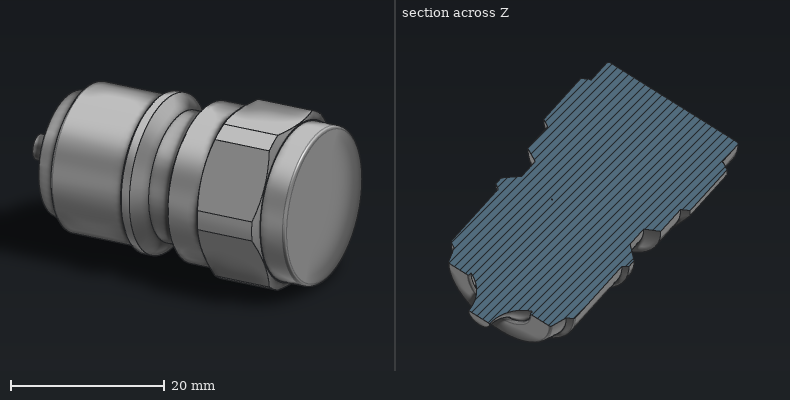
import cadquery as cq
import math

length = 42.36
front_face_x = 4.4
lead_in_end_x = 6.75
ridge_start_x = 17.6
ridge_flat_start_x = 18.1
ridge_flat_end_x = 19.3
groove_start_x = 21.1
groove_end_x = 24.0
collar_start_x = 25.05
hex_start_x = 29.35
hex_end_x = 38.7

lead_in_front_radius = 8.4
lead_in_back_radius = 9.2
sleeve_radius = 10.15
ridge_radius = 10.9
groove_radius = 8.9
collar_radius = 10.9
tail_radius = 10.75

front_edge_round = 0.3
sleeve_edge_round = 0.3
sleeve_chamfer_angle = 60
tail_edge_round = 0.4

hex_sides = 6
across_flats = 22.0
hex_corner_radius = 12.0
hex_chamfer_angle = 30

bore_radius = 5.0
bore_edge_round = 0.2
nose_tip_radius = 1.75
nose_flare_radius = 5.3


def revolve_about_x(profile):
    """Turn a closed (x, radius) profile around the X axis."""
    return profile.close().revolve(360, (0, 0, 0), (1, 0, 0))


def circles_at(x, radius):
    """Select the edges at one x whose circles are no larger than the radius."""
    tolerance = 0.02
    return cq.selectors.BoxSelector(
        (x - tolerance, -radius - tolerance, -radius - tolerance),
        (x + tolerance, radius + tolerance, radius + tolerance),
        boundingbox=True,
    )


def make_body():
    chamfer_length = (sleeve_radius - lead_in_back_radius) / math.tan(math.radians(sleeve_chamfer_angle))
    sleeve_corner_x = lead_in_end_x + chamfer_length
    profile = (
        cq.Workplane("XY")
        .moveTo(front_face_x, 0)
        .lineTo(front_face_x, lead_in_front_radius)
        .lineTo(lead_in_end_x, lead_in_back_radius)
        .lineTo(sleeve_corner_x, sleeve_radius)
        .lineTo(ridge_start_x, sleeve_radius)
        .lineTo(ridge_flat_start_x, ridge_radius)
        .lineTo(ridge_flat_end_x, ridge_radius)
        .lineTo(groove_start_x, groove_radius)
        .lineTo(groove_end_x, groove_radius)
        .lineTo(collar_start_x, collar_radius)
        .lineTo(hex_start_x, collar_radius)
        .lineTo(hex_start_x, tail_radius)
        .lineTo(length, tail_radius)
        .lineTo(length, 0)
    )
    body = revolve_about_x(profile)
    body = body.edges(circles_at(front_face_x, lead_in_front_radius)).fillet(front_edge_round)
    body = body.edges(circles_at(sleeve_corner_x, sleeve_radius)).fillet(sleeve_edge_round)
    return body.edges(circles_at(length, tail_radius)).fillet(tail_edge_round)


def make_hexagon():
    corner_to_corner = across_flats / math.cos(math.pi / hex_sides)
    prism = (
        cq.Workplane("YZ", origin=(hex_start_x, 0, 0))
        .polygon(hex_sides, corner_to_corner)
        .extrude(hex_end_x - hex_start_x)
    )
    chamfer_length = (hex_corner_radius - collar_radius) * math.tan(math.radians(hex_chamfer_angle))
    turned_blank = revolve_about_x(
        cq.Workplane("XY")
        .moveTo(hex_start_x, 0)
        .lineTo(hex_start_x, collar_radius)
        .lineTo(hex_start_x + chamfer_length, hex_corner_radius)
        .lineTo(hex_end_x - chamfer_length, hex_corner_radius)
        .lineTo(hex_end_x, collar_radius)
        .lineTo(hex_end_x, 0)
    )
    return prism.intersect(turned_blank)


def flare_point(angle):
    """Point on the concave flare; the flare leaves the tip parallel to the axis."""
    return (
        nose_flare_radius * math.sin(angle),
        nose_tip_radius + nose_flare_radius * (1 - math.cos(angle)),
    )


flare_sweep = math.acos(1 - (bore_radius - nose_tip_radius) / nose_flare_radius)
nose_base_x = flare_point(flare_sweep)[0]


def cut_bore(body):
    bore = (
        cq.Workplane("YZ", origin=(front_face_x, 0, 0))
        .circle(bore_radius)
        .extrude(nose_base_x - front_face_x)
    )
    return body.cut(bore).edges(circles_at(front_face_x, bore_radius)).fillet(bore_edge_round)


def make_nose():
    return revolve_about_x(
        cq.Workplane("XY")
        .moveTo(0, 0)
        .lineTo(0, nose_tip_radius)
        .threePointArc(flare_point(flare_sweep / 2), flare_point(flare_sweep))
        .lineTo(nose_base_x, 0)
    )


result = cut_bore(make_body()).union(make_hexagon()).union(make_nose())